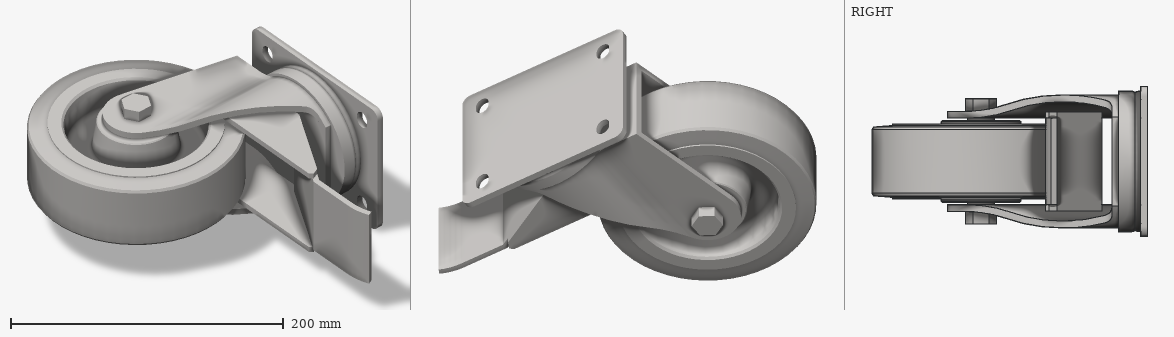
import cadquery as cq
import math


overall_length = 280.3
overall_height = 202.0
tread_radius = 160.0 / 2

swivel_x = 65.0
plate_top = overall_height - tread_radius
plate_length = 140.0
plate_width = 110.0
plate_thickness = 5.0
plate_corner_radius = 7.0
slot_width = 11.0
slot_length = 13.5
slot_spacing_x = 105.0
slot_spacing_z = 77.5
plate_bottom = plate_top - plate_thickness

bearing_radius = 103.2 / 2
neck_top_radius = 51.3
neck_radius = 50.5
neck_y = 113.0
bearing_edge_round = 4.2
housing_shoulder_y = 110.5
housing_bottom = 101.0

fork_thickness = 5.0
fork_gap = 63.4
fork_top = housing_bottom
fork_roof = fork_top - fork_thickness
fork_top_left = -3.0
fork_top_right = 101.2
fork_notch_corner_x = 87.0
fork_notch_radius = 11.5
fork_eye_radius = 24.7
bulge_start_x = 22.0
bulge_radius = 48.8
fork_outer_z = fork_gap / 2 + fork_thickness

tread_edge_z = 23.3
tread_side_radius = 78.8
tread_side_z = 25.2
rim_radius = 130.0 / 2
rim_seat_z = 26.4
rim_z = 27.5
recess_radius = 53.3
recess_chamfer = 1.7
recess_foot_radius = 51.5
recess_fillet = 4.0
web_z = 4.2
hub_root_radius = 32.5
hub_root_fillet = 3.5
hub_radius = 29.2
hub_z = 30.0
hub_chamfer = 0.8

spacer_diameter = 20.0
bolt_across_flats = 20.0
bolt_end_z = 46.0

pedal_thickness = 4.5
pedal_bottom = 47.5
brake_back_x = 80.0
brake_bend_x = 143.2
brake_slope = math.radians(29.8)
cheek_back_x = 28.0
cheek_tip_x = 140.5
cheek_tip_chamfer = 2.5
cheek_thickness = 4.5
tip_bend_x = 181.5
tip_bend_radius = 46.0
tip_end_x = overall_length - tread_radius


def extrude_symmetric(outline, width):
    """Extrude an XY outline by the given total width, centred on Z = 0."""
    return outline.extrude(width / 2, both=True)


def tangent_point(point, radius, side):
    """Point where a line from `point` touches the circle about the origin."""
    angle = math.atan2(point[1], point[0]) + side * math.acos(radius / math.hypot(*point))
    return (radius * math.cos(angle), radius * math.sin(angle))


def make_plate():
    plate = (
        cq.Workplane("XZ", origin=(swivel_x, plate_top, 0))
        .rect(plate_length, plate_width)
        .extrude(plate_thickness)
        .edges("|Y")
        .fillet(plate_corner_radius)
    )
    slots = (
        cq.Workplane("XZ", origin=(swivel_x, plate_top, 0))
        .rect(slot_spacing_x, slot_spacing_z, forConstruction=True)
        .vertices()
        .slot2D(slot_length, slot_width, 90)
        .extrude(plate_thickness)
    )
    return plate.cut(slots)


def make_bearing():
    return (
        cq.Workplane("XY", origin=(swivel_x, 0, 0))
        .moveTo(0, plate_bottom)
        .lineTo(neck_top_radius, plate_bottom)
        .radiusArc((neck_radius, neck_y), bearing_edge_round)
        .radiusArc((bearing_radius, housing_shoulder_y), bearing_edge_round)
        .lineTo(bearing_radius, housing_bottom)
        .lineTo(0, housing_bottom)
        .close()
        .revolve(360, (0, 0, 0), (0, 1, 0))
    )


def fork_section(inset, top):
    """Bulged fork cross-section, offset inwards by `inset`, from the eye up to Y = top."""
    flat_z = fork_outer_z - inset
    radius = bulge_radius - inset
    run = swivel_x - bulge_start_x
    blend = (run**2 + flat_z**2 - radius**2) / (2 * (radius - flat_z))
    to_bulge = math.atan2(blend + flat_z, run)
    to_middle = (to_bulge + math.pi / 2) / 2
    blend_end = (swivel_x - radius * math.cos(to_bulge), radius * math.sin(to_bulge))
    blend_middle = (
        bulge_start_x + blend * math.cos(to_middle),
        flat_z + blend - blend * math.sin(to_middle),
    )
    end_z = math.sqrt(radius**2 - (fork_top_right - swivel_x) ** 2)
    half = (
        cq.Workplane("XZ", origin=(0, top, 0))
        .moveTo(-fork_eye_radius, 0)
        .lineTo(-fork_eye_radius, flat_z)
        .lineTo(bulge_start_x, flat_z)
        .threePointArc(blend_middle, blend_end)
        .threePointArc((swivel_x, radius), (fork_top_right, end_z))
        .lineTo(fork_top_right, 0)
        .close()
        .extrude(top + fork_eye_radius)
    )
    return half.union(half.mirror("XY"))


def make_fork():
    top_left = (fork_top_left, fork_top)
    notch_corner = (fork_notch_corner_x, fork_roof)
    side_outline = (
        cq.Workplane("XY")
        .moveTo(*top_left)
        .lineTo(*tangent_point(top_left, fork_eye_radius, 1))
        .threePointArc((0, -fork_eye_radius), tangent_point(notch_corner, fork_eye_radius, -1))
        .lineTo(*notch_corner)
        .lineTo(fork_top_right, fork_roof)
        .lineTo(fork_top_right, fork_top)
        .close()
    )
    side = extrude_symmetric(side_outline, 2 * bulge_radius)
    notch_edge = cq.selectors.NearestToPointSelector((*notch_corner, 0))
    side = side.edges("|Z").edges(notch_edge).fillet(fork_notch_radius)
    shell = fork_section(0, fork_top).cut(fork_section(fork_thickness, fork_roof))
    return shell.intersect(side)


def make_wheel():
    half = (
        cq.Workplane("XZ")
        .lineTo(tread_radius, 0)
        .lineTo(tread_radius, tread_edge_z)
        .lineTo(tread_side_radius, tread_side_z)
        .lineTo(rim_radius, rim_seat_z)
        .lineTo(rim_radius, rim_z)
        .lineTo(recess_radius + recess_chamfer, rim_z)
        .lineTo(recess_radius, rim_z - recess_chamfer)
        .lineTo(recess_foot_radius, web_z + recess_fillet)
        .radiusArc((recess_foot_radius - recess_fillet, web_z), recess_fillet)
        .lineTo(hub_root_radius + hub_root_fillet, web_z)
        .radiusArc((hub_root_radius, web_z + hub_root_fillet), hub_root_fillet)
        .lineTo(hub_radius, hub_z - hub_chamfer)
        .lineTo(hub_radius - hub_chamfer, hub_z)
        .lineTo(0, hub_z)
        .close()
        .revolve(360, (0, 0, 0), (0, 1, 0))
    )
    return half.union(half.mirror("XY"))


def make_axle():
    spacer = extrude_symmetric(cq.Workplane("XY").circle(spacer_diameter / 2), fork_gap)
    across_corners = bolt_across_flats / math.cos(math.pi / 6)
    head = (
        cq.Workplane("XY", origin=(0, 0, fork_gap / 2))
        .transformed(rotate=(0, 0, 90))
        .polygon(6, across_corners)
        .extrude(bolt_end_z - fork_gap / 2)
    )
    return spacer.union(head).union(head.mirror("XY"))


def make_brake():
    pedal_top = pedal_bottom + pedal_thickness
    slope_rise = math.tan(brake_slope)
    slope_height = pedal_thickness / math.cos(brake_slope)
    back_bottom = pedal_bottom + (brake_bend_x - brake_back_x) * slope_rise

    def slope_top(x):
        return pedal_bottom + (brake_bend_x - x) * slope_rise + slope_height

    tip_angle = math.asin((tip_end_x - tip_bend_x) / tip_bend_radius)
    bend_y = pedal_bottom + tip_bend_radius

    def tip_point(radius, angle):
        return (tip_bend_x + radius * math.sin(angle), bend_y - radius * math.cos(angle))

    tip_inner = tip_bend_radius - pedal_thickness
    pedal_fold_x = brake_bend_x + (slope_height - pedal_thickness) / slope_rise
    pedal_outline = (
        cq.Workplane("XY")
        .moveTo(brake_back_x, back_bottom)
        .lineTo(brake_bend_x, pedal_bottom)
        .lineTo(tip_bend_x, pedal_bottom)
        .threePointArc(tip_point(tip_bend_radius, tip_angle / 2), tip_point(tip_bend_radius, tip_angle))
        .lineTo(*tip_point(tip_inner, tip_angle))
        .threePointArc(tip_point(tip_inner, tip_angle / 2), (tip_bend_x, pedal_top))
        .lineTo(pedal_fold_x, pedal_top)
        .lineTo(brake_back_x, slope_top(brake_back_x))
        .close()
    )
    pedal = extrude_symmetric(pedal_outline, fork_gap)

    cheek_shoulder_x = cheek_tip_x - cheek_tip_chamfer
    cheek = (
        cq.Workplane("XY", origin=(0, 0, fork_gap / 2))
        .moveTo(cheek_back_x, pedal_bottom)
        .lineTo(cheek_shoulder_x, pedal_bottom)
        .lineTo(cheek_tip_x, pedal_bottom + cheek_tip_chamfer)
        .lineTo(cheek_shoulder_x, slope_top(cheek_shoulder_x))
        .lineTo(brake_back_x, slope_top(brake_back_x))
        .lineTo(cheek_back_x, slope_top(brake_back_x))
        .close()
        .extrude(cheek_thickness)
    )
    return pedal.union(cheek).union(cheek.mirror("XY"))


result = make_plate()
for component in (make_bearing(), make_fork(), make_wheel(), make_axle(), make_brake()):
    result = result.union(component)